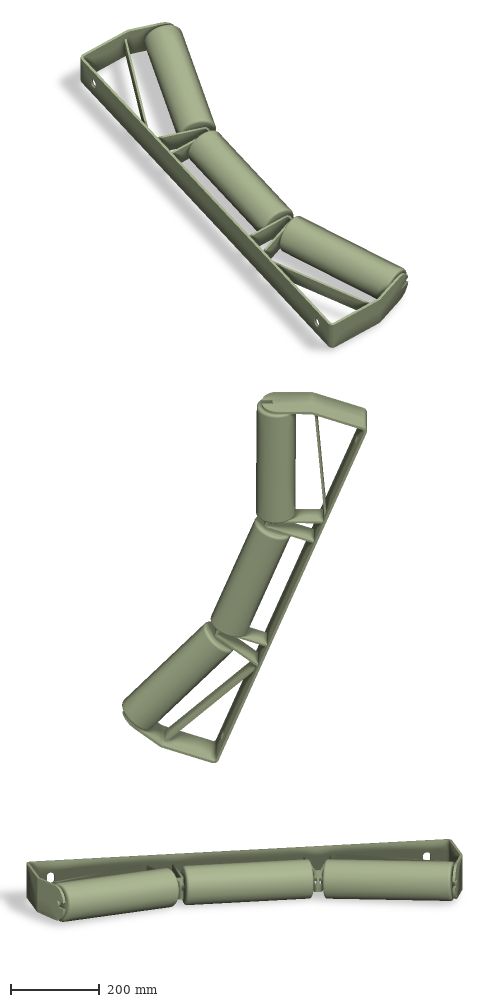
import cadquery as cq
import math

FRAME_LENGTH = 980.0
FRAME_HEIGHT = 80.0
FRAME_THICKNESS = 6.0
CORNER_RADIUS = 12.0
TROUGH_ANGLE = 20.0
ARM_BEND_Y = 135.0
ARM_BEND_RADIUS = 18.0
ARM_TIP_LENGTH = 114.0
ARM_TIP_CORNER_RADIUS = 36.0
MOUNT_HOLE_X = 433.0
MOUNT_HOLE_WIDTH = 18.0
MOUNT_HOLE_HEIGHT = 26.0

BRACKET_THICKNESS = 5.0
BRACKET_HEIGHT = 50.0
BRACKET_FACE_X = 149.0
BRACKET_BEND_RADIUS = 9.0
BRACKET_TOP_Y = 125.0
BRACKET_TOP_WIDTH = 20.0

STRUT_THICKNESS = 5.0
STRUT_HEIGHT = 40.0
STRUT_FOOT_X = 221.0
STRUT_ARM_Y = 128.0

ROLLER_DIAMETER = 89.0
ROLLER_LENGTH = 292.0
ROLLER_EDGE_RADIUS = 6.0
AXLE_DIAMETER = 20.0
AXLE_FLATS = 15.0
SLOT_CLEARANCE = 2.0
MIDDLE_ROLLER_Y = 100.0
SIDE_ROLLER_X = 317.0
SIDE_ROLLER_Y = 158.0
ROLLER_DROP = 7.0

SLOPE_SIN = math.sin(math.radians(TROUGH_ANGLE))
SLOPE_COS = math.cos(math.radians(TROUGH_ANGLE))
SLOPE_TAN = SLOPE_SIN / SLOPE_COS
SIDE_ROLLER_TILT = math.degrees(math.asin(ROLLER_DROP / ROLLER_LENGTH))

MIDDLE_AXLE_END = BRACKET_FACE_X + BRACKET_THICKNESS
SIDE_AXLE_END = (
    (FRAME_LENGTH / 2 - SIDE_ROLLER_X) * SLOPE_COS + (ARM_BEND_Y - SIDE_ROLLER_Y) * SLOPE_SIN
)


def centred_prism(outline, height):
    return outline.extrude(height).translate((0, 0, -height / 2))


def round_edges(body, x, y, radius):
    """Fillet the edges whose midpoints lie at the given place in plan."""
    reach = 1.0
    tall = FRAME_HEIGHT
    nearby = cq.selectors.BoxSelector((x - reach, y - reach, -tall), (x + reach, y + reach, tall))
    return body.edges(nearby).fillet(radius)


def mirrored(body):
    return body.mirror("YZ")


def place_on_side(body):
    """Move a body from the origin to the right-hand side roller's axis."""
    return (
        body.rotate((0, 0, 0), (0, 1, 0), -SIDE_ROLLER_TILT)
        .rotate((0, 0, 0), (0, 0, 1), TROUGH_ANGLE)
        .translate((SIDE_ROLLER_X, SIDE_ROLLER_Y, -ROLLER_DROP / 2))
    )


def place_in_middle(body):
    return body.translate((0, MIDDLE_ROLLER_Y, -ROLLER_DROP))


def make_axle(half_length):
    flats = cq.Workplane("XY").box(2 * half_length, AXLE_DIAMETER, AXLE_FLATS)
    rod = cq.Workplane("YZ").circle(AXLE_DIAMETER / 2).extrude(half_length, both=True)
    return rod.intersect(flats)


def make_roller(place, axle_end):
    """One roller and its axle, which ends `axle_end` from the roller's centre."""
    drum = (
        cq.Workplane("YZ")
        .circle(ROLLER_DIAMETER / 2)
        .extrude(ROLLER_LENGTH)
        .edges()
        .fillet(ROLLER_EDGE_RADIUS)
        .translate((-ROLLER_LENGTH / 2, 0, 0))
    )
    return place(drum.union(make_axle(axle_end)))


def make_slot_cutter(place, axle_end):
    """The axle and the open path above it, along which the axle drops into its plates."""
    reach = axle_end + SLOT_CLEARANCE
    depth = ROLLER_DIAMETER / 2
    path = cq.Workplane("XY").box(2 * reach, depth, AXLE_FLATS).translate((0, depth / 2, 0))
    return place(make_axle(reach).union(path))


def make_frame(side_slot):
    half = FRAME_LENGTH / 2
    tip_x = half - ARM_TIP_LENGTH * SLOPE_SIN
    tip_y = ARM_BEND_Y + ARM_TIP_LENGTH * SLOPE_COS
    inner_bend_y = ARM_BEND_Y - FRAME_THICKNESS * math.tan(math.radians(TROUGH_ANGLE / 2))
    inner_half = half - FRAME_THICKNESS
    inner_tip_x = tip_x - FRAME_THICKNESS * SLOPE_COS
    inner_tip_y = tip_y - FRAME_THICKNESS * SLOPE_SIN
    outline = cq.Workplane("XY").polyline([
        (-half, 0),
        (half, 0),
        (half, ARM_BEND_Y),
        (tip_x, tip_y),
        (inner_tip_x, inner_tip_y),
        (inner_half, inner_bend_y),
        (inner_half, FRAME_THICKNESS),
        (-inner_half, FRAME_THICKNESS),
        (-inner_half, inner_bend_y),
        (-inner_tip_x, inner_tip_y),
        (-tip_x, tip_y),
        (-half, ARM_BEND_Y),
    ]).close()
    frame = centred_prism(outline, FRAME_HEIGHT)

    for side in (-1, 1):
        frame = round_edges(frame, side * half, 0, CORNER_RADIUS)
        frame = round_edges(frame, side * inner_half, FRAME_THICKNESS, CORNER_RADIUS - FRAME_THICKNESS)
        frame = round_edges(frame, side * half, ARM_BEND_Y, ARM_BEND_RADIUS)
        frame = round_edges(frame, side * inner_half, inner_bend_y, ARM_BEND_RADIUS - FRAME_THICKNESS)
        tip_middle_x = side * (tip_x + inner_tip_x) / 2
        frame = round_edges(frame, tip_middle_x, (tip_y + inner_tip_y) / 2, ARM_TIP_CORNER_RADIUS)

    holes = (
        cq.Workplane("XZ")
        .pushPoints([(-MOUNT_HOLE_X, 0), (MOUNT_HOLE_X, 0)])
        .slot2D(MOUNT_HOLE_HEIGHT, MOUNT_HOLE_WIDTH, 90)
        .extrude(-FRAME_THICKNESS)
    )
    return frame.cut(holes).cut(side_slot).cut(mirrored(side_slot))


def make_bracket(middle_slot, side_slot):
    far_x = BRACKET_FACE_X + BRACKET_TOP_WIDTH
    run = (BRACKET_TOP_Y - FRAME_THICKNESS) * SLOPE_TAN
    inner_x = BRACKET_FACE_X + BRACKET_THICKNESS
    inner_top = BRACKET_TOP_Y - BRACKET_THICKNESS
    foot_width = BRACKET_THICKNESS / SLOPE_COS
    inner_far_x = far_x - foot_width + BRACKET_THICKNESS * SLOPE_TAN
    bracket = centred_prism(
        cq.Workplane("XY").polyline([
            (BRACKET_FACE_X, FRAME_THICKNESS),
            (BRACKET_FACE_X, BRACKET_TOP_Y),
            (far_x, BRACKET_TOP_Y),
            (far_x + run, FRAME_THICKNESS),
            (far_x + run - foot_width, FRAME_THICKNESS),
            (inner_far_x, inner_top),
            (inner_x, inner_top),
            (inner_x, FRAME_THICKNESS),
        ]).close(),
        BRACKET_HEIGHT,
    ).translate((0, 0, -ROLLER_DROP))
    inner_radius = BRACKET_BEND_RADIUS - BRACKET_THICKNESS
    for x in (BRACKET_FACE_X, far_x):
        bracket = round_edges(bracket, x, BRACKET_TOP_Y, BRACKET_BEND_RADIUS)
    for x in (inner_x, inner_far_x):
        bracket = round_edges(bracket, x, inner_top, inner_radius)
    return bracket.cut(middle_slot).cut(side_slot)


def make_strut():
    arm_x = FRAME_LENGTH / 2 - FRAME_THICKNESS
    slope = math.atan2(STRUT_ARM_Y - FRAME_THICKNESS, arm_x - STRUT_FOOT_X)
    return centred_prism(
        cq.Workplane("XY").polyline([
            (STRUT_FOOT_X, FRAME_THICKNESS),
            (arm_x, STRUT_ARM_Y),
            (arm_x, STRUT_ARM_Y - STRUT_THICKNESS / math.cos(slope)),
            (STRUT_FOOT_X + STRUT_THICKNESS / math.sin(slope), FRAME_THICKNESS),
        ]).close(),
        STRUT_HEIGHT,
    )


middle_slot = make_slot_cutter(place_in_middle, MIDDLE_AXLE_END)
side_slot = make_slot_cutter(place_on_side, SIDE_AXLE_END)

frame = make_frame(side_slot)
middle_roller = make_roller(place_in_middle, MIDDLE_AXLE_END)
bodies = [frame, middle_roller]
for right_body in (
    make_bracket(middle_slot, side_slot),
    make_strut(),
    make_roller(place_on_side, SIDE_AXLE_END),
):
    bodies += [right_body, mirrored(right_body)]

result = cq.Compound.makeCompound([body.val() for body in bodies])